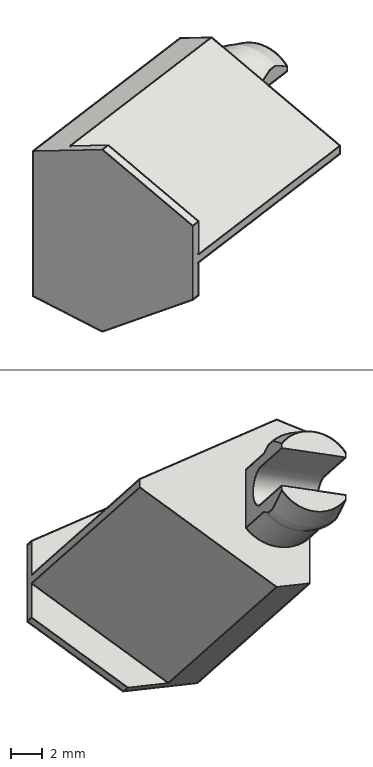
import cadquery as cq
import math

total_length = 24.75
width = 11.5
flange_height = 12.67
flange_thickness = 0.75
pin_length = 6.0
block_length = total_length - pin_length

ridge_x = 5.0
block_ridge_x = 2.25
left_half_height = 5.05
steep_slope = math.tan(math.radians(30))

pin_width = 4.33
shank_radius = 2.92
crest_radius = 3.15
tip_radius = 2.67
crest_end_from_tip = 1.53
crest_start_from_tip = 2.23
shank_end_from_tip = 3.0

slot_height = 2.52
slot_depth = 4.78

gentle_slope = (flange_height / 2 - left_half_height) / ridge_x


def ridged_prism(peak_x, length):
    """Prism along +Y from Y = 0, symmetric in Z, with its ridges at peak_x."""
    peak_z = left_half_height + gentle_slope * peak_x
    right_z = peak_z - steep_slope * (width - peak_x)
    outline = [
        (0, -left_half_height),
        (peak_x, -peak_z),
        (width, -right_z),
        (width, right_z),
        (peak_x, peak_z),
        (0, left_half_height),
    ]
    return cq.Workplane("XZ").polyline(outline).close().extrude(-length)


def snap_pin():
    """Turned pin with a raised crest, flattened to pin_width and slotted along X."""
    profile = [
        (0, block_length),
        (shank_radius, block_length),
        (shank_radius, total_length - shank_end_from_tip),
        (crest_radius, total_length - crest_start_from_tip),
        (crest_radius, total_length - crest_end_from_tip),
        (tip_radius, total_length),
        (0, total_length),
    ]
    turned = (
        cq.Workplane("XY")
        .polyline(profile)
        .close()
        .revolve(360, (0, 0, 0), (0, 1, 0))
        .translate((pin_width / 2, 0, 0))
    )
    flats = cq.Workplane("XY").box(
        pin_width, total_length, flange_height, centered=(False, False, True)
    )
    return turned.intersect(flats).cut(prong_slot())


def prong_slot():
    """Round-ended slot through the pin, open at the tip."""
    radius = slot_height / 2
    slot_bottom_y = total_length - slot_depth
    arc_center_y = slot_bottom_y + radius
    return (
        cq.Workplane("YZ")
        .moveTo(total_length, radius)
        .lineTo(arc_center_y, radius)
        .threePointArc((slot_bottom_y, 0), (arc_center_y, -radius))
        .lineTo(total_length, -radius)
        .close()
        .extrude(pin_width)
    )


flange = ridged_prism(ridge_x, flange_thickness)
block = ridged_prism(block_ridge_x, block_length)

result = flange.union(block).union(snap_pin())